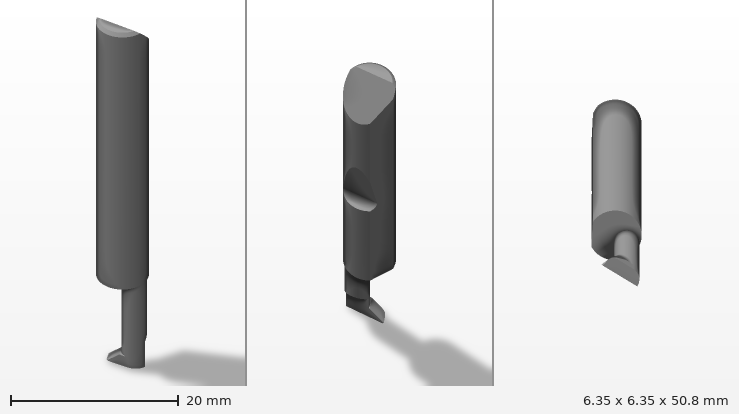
import cadquery as cq
import math

total_height = 50.8
shank_radius = 3.175
shank_bottom = 12.8
top_chamfer = 0.4
bevel_drop = 4.45
flat_angle = 150.0
flat_distance = shank_radius * math.cos(math.radians(30.0))

notch_bottom = 27.8
notch_top = 36.6
notch_depth = 1.25
notch_radius = 0.9

neck_radius = 1.5
neck_center_x = shank_radius - neck_radius
relief_start = 5.5

hook_top = 1.95
hook_root_x = 0.0
hook_tip_x = -1.95
hook_tip_height = 0.2
hook_skew = 0.5
hook_thickness = neck_radius
hook_corner_radius = 1.15
tip_x = -1.8
bottom_rise_x = 0.04
bottom_rise_y = 0.2

margin = 1.0
cut_half_width = shank_radius + margin
cut_width = 2 * cut_half_width


def extrude_along_x(profile):
    """Extrude a closed YZ profile across the full width of the part."""
    return profile.extrude(cut_half_width, both=True)


def make_shank():
    length = total_height - shank_bottom
    shank = cq.Workplane("XY", origin=(0, 0, shank_bottom)).circle(shank_radius).extrude(length)
    shank = shank.faces(">Z").chamfer(top_chamfer)
    side_flat = (
        cq.Workplane("XY")
        .center(flat_distance + cut_half_width, 0)
        .rect(cut_width, cut_width)
        .extrude(total_height + margin)
        .rotate((0, 0, 0), (0, 0, 1), flat_angle)
    )
    return shank.cut(side_flat).cut(make_bevel()).cut(make_notch())


def make_bevel():
    reach = bevel_drop + margin
    return extrude_along_x(
        cq.Workplane("YZ")
        .moveTo(shank_radius + margin, total_height - reach)
        .lineTo(shank_radius - reach, total_height + margin)
        .lineTo(shank_radius + margin, total_height + margin)
        .close()
    )


def make_notch():
    floor_y = shank_radius - notch_depth
    arc_end_y = floor_y + notch_radius
    arc_mid_offset = notch_radius * (1 - math.sqrt(0.5))
    return extrude_along_x(
        cq.Workplane("YZ")
        .moveTo(shank_radius, notch_top)
        .lineTo(floor_y, notch_bottom + notch_radius)
        .threePointArc(
            (floor_y + arc_mid_offset, notch_bottom + arc_mid_offset),
            (arc_end_y, notch_bottom),
        )
        .lineTo(shank_radius, notch_bottom)
        .close()
    )


def make_neck():
    neck = cq.Workplane("XY").center(neck_center_x, 0).circle(neck_radius).extrude(shank_bottom)
    relief = extrude_along_x(
        cq.Workplane("YZ")
        .moveTo(0, -margin)
        .lineTo(0, relief_start - neck_radius)
        .lineTo(neck_radius + margin, relief_start + margin)
        .lineTo(neck_radius + margin, -margin)
        .close()
    )
    return neck.cut(relief)


def make_hook():
    corner_x = hook_tip_x + hook_corner_radius
    corner_y = hook_corner_radius - hook_thickness
    arc_mid_offset = hook_corner_radius * math.sqrt(0.5)
    plan = (
        cq.Workplane("XY")
        .moveTo(hook_tip_x, 0)
        .lineTo(hook_tip_x, corner_y)
        .threePointArc((corner_x - arc_mid_offset, corner_y - arc_mid_offset), (corner_x, -hook_thickness))
        .lineTo(neck_center_x, -hook_thickness)
        .lineTo(neck_center_x, 0)
        .close()
        .extrude(hook_top)
    )

    def flank_section(y, shift):
        return cq.Wire.makePolygon(
            [
                cq.Vector(neck_center_x, y, hook_top),
                cq.Vector(hook_root_x + shift, y, hook_top),
                cq.Vector(hook_tip_x + shift, y, hook_tip_height),
                cq.Vector(tip_x + shift, y, 0),
                cq.Vector(neck_center_x, y, 0),
            ],
            close=True,
        )

    back = flank_section(0, 0)
    front = flank_section(-hook_thickness, hook_skew)
    return plan.intersect(cq.Workplane(cq.Solid.makeLoft([back, front], True)))


def make_end_relief():
    """Solid below the tilted end face, which passes through the cutting point."""
    end_plane = cq.Plane(
        origin=(tip_x, 0, 0),
        xDir=(1, 0, bottom_rise_x),
        normal=(-bottom_rise_x, bottom_rise_y, 1),
    )
    return cq.Workplane(end_plane).rect(2 * cut_width, 2 * cut_width).extrude(-2 * margin)


tip = make_neck().union(make_hook()).cut(make_end_relief())
result = make_shank().union(tip)